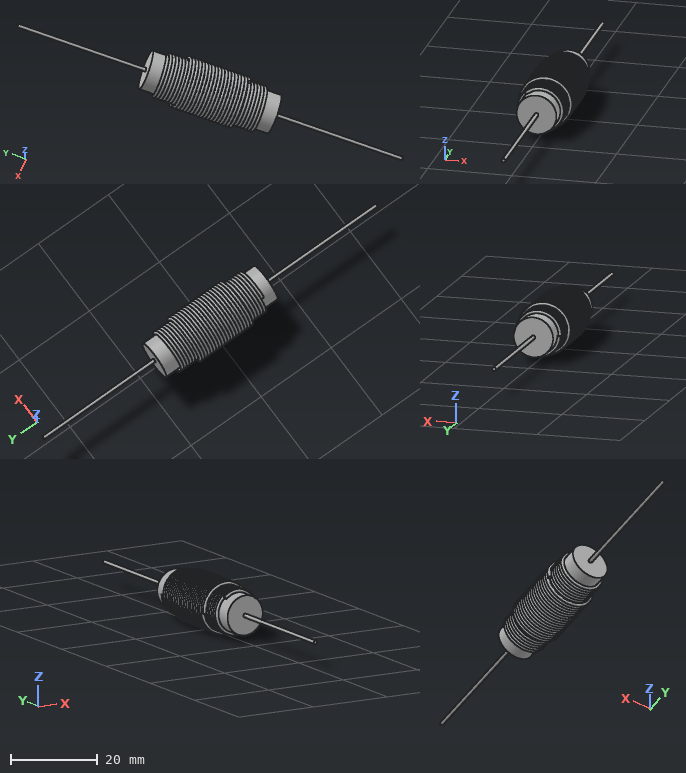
import cadquery as cq
import math

total_length = 95.25
core_length = 31.8
core_radius = 4.8
lead_radius = 0.5

wire_diameter = 0.77
winding_pitch = 0.81
outer_winding_diameter = 12.7
layer_step = 0.78
outer_path_radius = (outer_winding_diameter - wire_diameter) / 2
inner_path_radius = outer_path_radius - layer_step

inner_turns = 30.86
inner_start_angle = 131
outer_turns = 18.55
outer_start_angle = 185


def make_core():
    """Cylindrical core with a round axial lead running out of both ends."""
    core = cq.Workplane("XZ").circle(core_radius).extrude(core_length / 2, both=True)
    leads = cq.Workplane("XZ").circle(lead_radius).extrude(total_length / 2, both=True)
    return core.union(leads)


def make_winding(path_radius, turns, start_angle):
    """One layer of round wire wound as a helix about Y, centred along the core."""
    height = turns * winding_pitch
    helix = cq.Wire.makeHelix(winding_pitch, height, path_radius)
    rise_per_radian = winding_pitch / (2 * math.pi)
    start_plane = cq.Plane(
        origin=(path_radius, 0, 0),
        xDir=(1, 0, 0),
        normal=(0, path_radius, rise_per_radian),
    )
    wire = cq.Workplane(start_plane).circle(wire_diameter / 2).sweep(cq.Workplane(helix), isFrenet=True)
    return (
        wire.translate((0, 0, -height / 2))
        .rotate((0, 0, 0), (1, 0, 0), -90)
        .rotate((0, 0, 0), (0, 1, 0), -start_angle)
    )


core = make_core()
inner_winding = make_winding(inner_path_radius, inner_turns, inner_start_angle)
outer_winding = make_winding(outer_path_radius, outer_turns, outer_start_angle)

result = cq.Compound.makeCompound([core.val(), inner_winding.val(), outer_winding.val()])